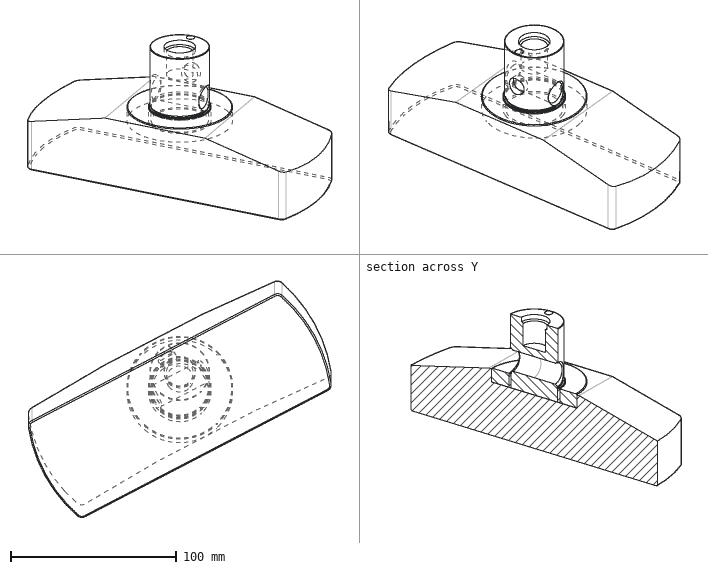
import cadquery as cq
length = 185.0
width = 68.0
housing_height = 44.5
end_height = 30.3
top_flat_length = 67.3
corner_radius = 4.0
base_chamfer = 1.0

disc_diameter = 64.0
disc_thickness = 9.2
disc_rise = 0.5
disc_bottom = housing_height + disc_rise - disc_thickness
disc_top = housing_height + disc_rise

bush_diameter = 38.0
bush_chamfer = 0.5

total_height = 85.0
post_diameter = 36.0
post_radius = post_diameter / 2
post_top_chamfer = 0.4
neck_diameter = 34.6
shoulder_rise = 0.5
shoulder_taper_height = 1.1
shoulder_height = disc_top + shoulder_rise

bore_diameter = 16.3
bore_depth = 18.5
mouth_diameter = 18.9
mouth_depth = 3.0
mouth_cone_depth = 0.7

cross_hole_diameter = 13.7
cross_hole_height = 54.2
countersink_diameter = 16.3
countersink_depth = 2.2

side_hole_diameter = 11.1
side_hole_height = 61.5
side_hole_depth = 4.6

dimple_diameter = 5.0
dimple_depth = 1.5
dimple_offset = 14.8

UP = cq.Vector(0, 0, 1)


def cylinder(diameter, bottom, top):
    """An upright cylinder on the Z axis."""
    return cq.Workplane("XY").workplane(offset=bottom).circle(diameter / 2).extrude(top - bottom)


def cone(start_diameter, end_diameter, height, start, direction=UP):
    """A cone that begins at the centre point start and widens along direction."""
    return cq.Workplane(cq.Solid.makeCone(start_diameter / 2, end_diameter / 2, height, start, direction))


def make_housing():
    side_profile = (
        cq.Workplane("XZ")
        .moveTo(-length / 2, 0)
        .lineTo(length / 2, 0)
        .lineTo(length / 2, end_height)
        .lineTo(top_flat_length / 2, housing_height)
        .lineTo(-top_flat_length / 2, housing_height)
        .lineTo(-length / 2, end_height)
        .close()
        .extrude(width / 2, both=True)
    )
    bar = cq.Workplane("XY").rect(length, width).extrude(housing_height)
    bar = bar.intersect(cylinder(length, 0, housing_height))
    bar = bar.edges("|Z").fillet(corner_radius)
    bar = bar.intersect(side_profile).faces("<Z").chamfer(base_chamfer)
    return bar.cut(cylinder(disc_diameter, disc_bottom, housing_height))


def make_disc():
    disc = cylinder(disc_diameter, disc_bottom, disc_top).faces(">Z").chamfer(disc_rise)
    return disc.cut(cylinder(bush_diameter, disc_bottom, disc_top))


def make_bush():
    bush = cylinder(bush_diameter, disc_bottom, disc_top).faces(">Z").chamfer(bush_chamfer)
    return bush.cut(cylinder(neck_diameter, disc_bottom, disc_top))


def make_post_blank():
    shaft_bottom = shoulder_height + shoulder_taper_height
    shaft = cylinder(post_diameter, shaft_bottom, total_height).faces(">Z").chamfer(post_top_chamfer)
    shoulder = cone(neck_diameter, post_diameter, shoulder_taper_height, cq.Vector(0, 0, shoulder_height))
    neck = cylinder(neck_diameter, disc_bottom, shoulder_height)
    return shaft.union(shoulder).union(neck)


def cut_cross_hole(post):
    hole = (
        cq.Workplane("YZ")
        .center(0, cross_hole_height)
        .circle(cross_hole_diameter / 2)
        .extrude(post_diameter, both=True)
    )
    post = post.cut(hole)
    for side in (-1, 1):
        start = cq.Vector(side * (post_radius - countersink_depth), 0, cross_hole_height)
        outward = cq.Vector(side, 0, 0)
        post = post.cut(cone(cross_hole_diameter, countersink_diameter, countersink_depth, start, outward))
    return post


def cut_bore(post):
    mouth_bottom = total_height - mouth_depth
    bore = cylinder(bore_diameter, total_height - bore_depth, total_height)
    mouth = cylinder(mouth_diameter, mouth_bottom, total_height)
    ledge_start = cq.Vector(0, 0, mouth_bottom - mouth_cone_depth)
    ledge = cone(bore_diameter, mouth_diameter, mouth_cone_depth, ledge_start)
    return post.cut(bore).cut(mouth).cut(ledge)


def cut_side_hole(post):
    side = cq.Workplane("XZ", origin=(0, post_radius, side_hole_height))
    return post.cut(side.circle(side_hole_diameter / 2).extrude(side_hole_depth))


def cut_dimple(post):
    tip = cq.Vector(0, dimple_offset, total_height - dimple_depth)
    return post.cut(cone(0, dimple_diameter, dimple_depth, tip))


def make_post():
    post = cut_cross_hole(make_post_blank())
    post = cut_bore(post)
    post = cut_side_hole(post)
    return cut_dimple(post)


housing = make_housing()
disc = make_disc()
bush = make_bush()
post = make_post()
result = cq.Compound.makeCompound([housing.val(), disc.val(), bush.val(), post.val()])